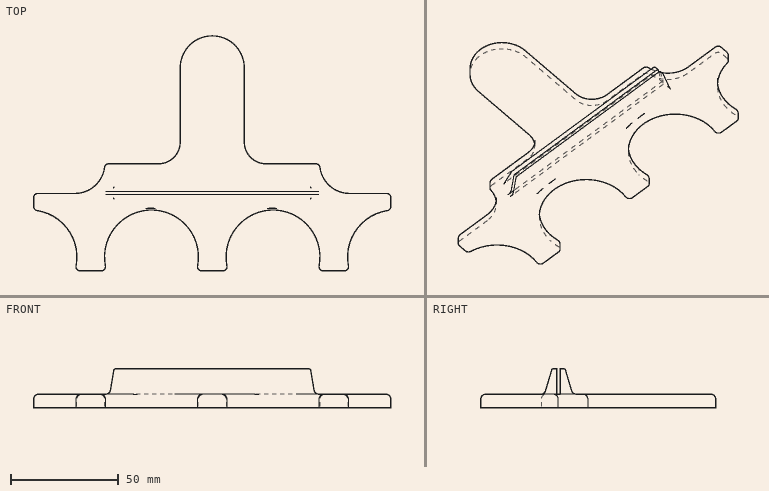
import cadquery as cq
import math

total_width = 165.5
total_length = 109.0
plate_thickness = 6.5
arm_back_y = 36.0
shoulder_half_width = 49.8
shoulder_y = 49.7
shoulder_radius = shoulder_y - arm_back_y
handle_half_width = 14.9
neck_radius = 10.0
corner_radius = 2.0
edge_radius = 2.5

scallop_count = 4
scallop_radius = 21.7
scallop_pitch = 56.3
scallop_center_y = 6.5

total_height = 18.2
rib_height = total_height - plate_thickness
slot_width = 1.5
slot_center_y = 36.1
rib_base_length = 95.0
rib_top_length = 91.0
rib_base_thickness = 5.8
rib_top_thickness = 2.3
rib_edge_radius = 1.0
rib_root_radius = 2.0
rib_embed = 1.7


def plate_blank():
    """Plate with handle, shoulders and arms, before the scallops are cut."""
    half_width = total_width / 2
    handle_end_y = total_length - handle_half_width
    diagonal = handle_half_width * math.sqrt(0.5)
    half = (
        cq.Workplane("XY")
        .lineTo(half_width, 0)
        .lineTo(half_width, arm_back_y)
        .lineTo(shoulder_half_width + shoulder_radius, arm_back_y)
        .radiusArc((shoulder_half_width, shoulder_y), shoulder_radius)
        .lineTo(handle_half_width + neck_radius, shoulder_y)
        .radiusArc((handle_half_width, shoulder_y + neck_radius), neck_radius)
        .lineTo(handle_half_width, handle_end_y)
        .threePointArc((diagonal, handle_end_y + diagonal), (0, total_length))
        .close()
        .extrude(plate_thickness)
    )
    return half.union(half.mirror("YZ")).clean()


def scallops():
    """Cutters for the scallops; the outer two run out through the ends of the arms."""
    return (
        cq.Workplane("XY", origin=(0, scallop_center_y, 0))
        .rarray(scallop_pitch, 1.7, scallop_count, 1)
        .circle(scallop_radius)
        .extrude(plate_thickness)
    )


def rounded_plate():
    """Plate with its sharp upright corners and its whole top rim rounded."""
    plate = plate_blank().cut(scallops())
    plate = plate.edges("|Z and (<Y or <X or >X)").fillet(corner_radius)
    for side in (-1, 1):
        shoulder_corner = (side * shoulder_half_width, shoulder_y, plate_thickness / 2)
        plate = plate.edges(cq.selectors.NearestToPointSelector(shoulder_corner)).fillet(corner_radius)
    return plate.faces(">Z").edges().fillet(edge_radius)


def rib_block():
    """Both ribs as one tapered block, its top and upright edges rounded."""
    base_width = slot_width + 2 * rib_base_thickness
    top_width = slot_width + 2 * rib_top_thickness
    growth = rib_embed / rib_height
    buried_length = rib_base_length + growth * (rib_base_length - rib_top_length)
    buried_width = base_width + growth * (base_width - top_width)
    block = (
        cq.Workplane("XY", origin=(0, slot_center_y, plate_thickness - rib_embed))
        .rect(buried_length, buried_width)
        .workplane(offset=rib_height + rib_embed)
        .rect(rib_top_length, top_width)
        .loft(ruled=True)
    )
    return block.edges("not <Z").fillet(rib_edge_radius)


def root_zone():
    """Selects the edges where the foot of the rib block meets the plate."""
    reach_x = rib_base_length / 2 + rib_edge_radius
    reach_y = slot_width / 2 + rib_base_thickness + rib_edge_radius
    return cq.selectors.BoxSelector(
        (-reach_x, slot_center_y - reach_y, plate_thickness - rib_embed),
        (reach_x, slot_center_y + reach_y, plate_thickness + rib_embed),
        boundingbox=True,
    )


def slot():
    """Cutter for the gap between the ribs, open at both ends, down to the plate."""
    return cq.Workplane("XY", origin=(0, slot_center_y, plate_thickness)).box(
        total_width, slot_width, rib_height, centered=(True, True, False)
    )


result = rounded_plate().union(rib_block())
result = result.edges(root_zone()).fillet(rib_root_radius)
result = result.cut(slot())